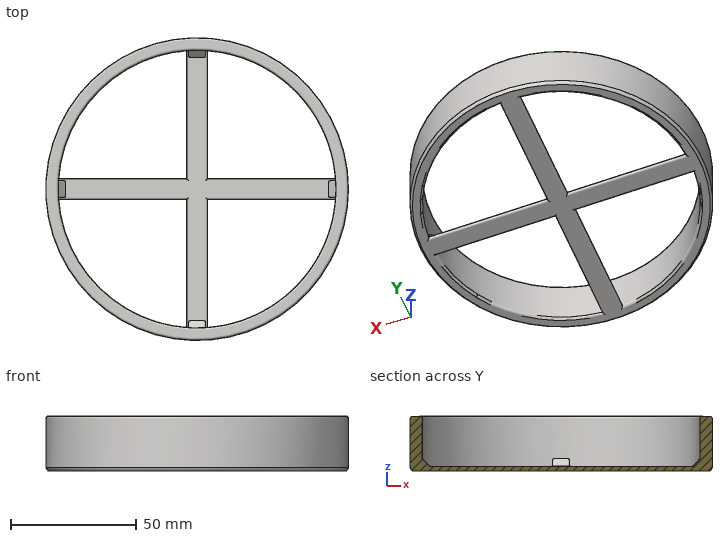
import cadquery as cq

outer_diameter = 121.0
inner_diameter = 111.0
height = 22.0
rim_fillet = 1.0
outer_radius = outer_diameter / 2
inner_radius = inner_diameter / 2

bevel_height = 1.5
bevel_step_height = 0.7
bevel_step_inset = 0.4
bevel_inset = 1.0

bar_width = 8.5
bar_thickness = 2.0
bar_fillet = 0.8

gusset_run = 2.9
gusset_rise = 3.0
gusset_fillet = 0.6
gusset_width = bar_width - 2 * bar_fillet

wall_middle = (outer_radius + inner_radius) / 2


def make_ring():
    """Ring with a beveled outer bottom edge and its other circular edges rounded."""
    ring = (
        cq.Workplane("XZ")
        .moveTo(inner_radius, 0)
        .lineTo(outer_radius - bevel_inset, 0)
        .lineTo(outer_radius - bevel_step_inset, bevel_step_height)
        .lineTo(outer_radius, bevel_height)
        .lineTo(outer_radius, height)
        .lineTo(inner_radius, height)
        .close()
        .revolve(360, (0, 0, 0), (0, 1, 0))
    )
    ring = ring.faces(">Z").edges().fillet(rim_fillet)
    inner_bottom_edge = cq.selectors.RadiusNthSelector(0)
    return ring.faces("<Z").edges(inner_bottom_edge).fillet(rim_fillet)


def make_bar():
    """Bar along X, across the whole ring, with rounded long edges."""
    bar = cq.Workplane("XY").box(2 * wall_middle, bar_width, bar_thickness, centered=(True, True, False))
    return bar.edges("|X").fillet(bar_fillet)


def make_gusset():
    """Sloped block on the +X end of a bar, with rounded slope edges."""
    gusset_foot = inner_radius - gusset_run
    gusset_top = bar_thickness + gusset_rise
    gusset_bottom = bar_thickness / 2
    gusset = (
        cq.Workplane("XZ")
        .moveTo(gusset_foot, gusset_bottom)
        .lineTo(gusset_foot, bar_thickness)
        .lineTo(inner_radius, gusset_top)
        .lineTo(wall_middle, gusset_top)
        .lineTo(wall_middle, gusset_bottom)
        .close()
        .extrude(gusset_width / 2, both=True)
    )
    slope_edges = gusset.faces("<Y or >Y").edges("not(|X or |Z)")
    return slope_edges.fillet(gusset_fillet)


def turned(body, angle):
    """Copy of a body turned about the ring axis."""
    return body.rotate((0, 0, 0), (0, 0, 1), angle)


bar = make_bar()
gusset = make_gusset()
result = make_ring().union(bar).union(turned(bar, 90))
for angle in (0, 90, 180, 270):
    result = result.union(turned(gusset, angle))